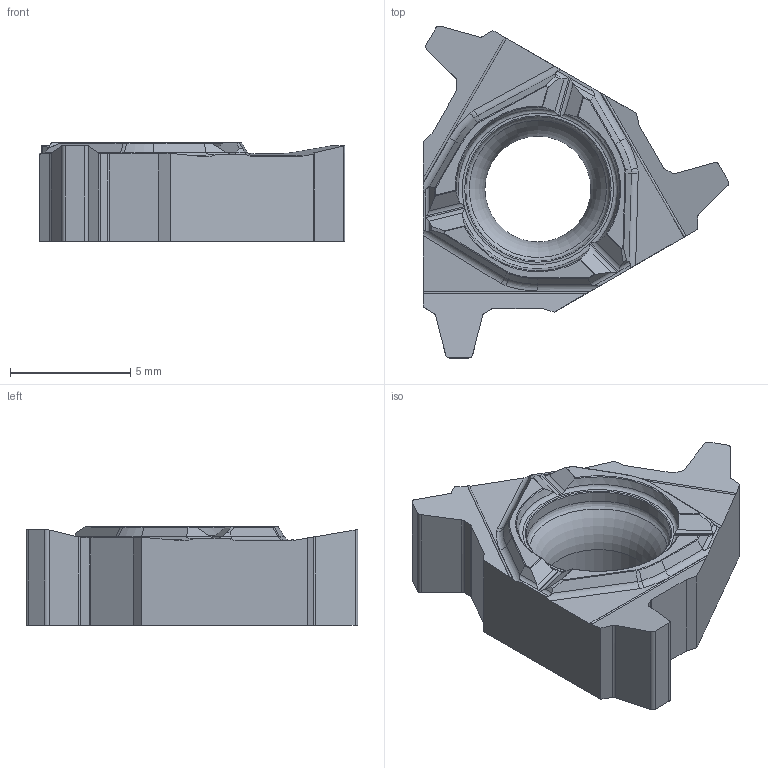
import cadquery as cq
import math

TOTAL_HEIGHT = 4.1
FLOOR_Z = 3.52
SEAT_Z = 3.61

ARM_COUNT = 3
ARM_SPACING = 360 / ARM_COUNT
INSCRIBED_RADIUS = 9.525 / 2
TOOTH_CENTRE_X = -3.27
TOOTH_TIP_Y = -7.01
TOOTH_TIP_WIDTH = 1.05
TOOTH_FLANK_ANGLE = 14.5
TOOTH_TIP_RADIUS = 0.16
TOOTH_ROOT_Y = -5.19
ROOT_RADIUS = 0.15
SHOULDER_ANGLE = 30
SHOULDER_Y = -4.96
SHOULDER_END_X = 0.19
CORNER_X = 0.675

BEND_START_Y = -4.26
BEND_END_Y = -4.345
RISE_ANGLE = 9.6
RISE_REACH = 8.0

RING_RADIUS = 3.71
RING_ARC_START_ANGLE = 250.5
RING_ARC_END_ANGLE = 270
RING_FLANK_ANGLE = -31.6
WALL_DRAFT = 30
RING_BASE_RADIUS = 0.33
RING_CORNER_RADIUS = 0.8
LEDGE_WALL_TOP = 4.26
LEDGE_BASE_RADIUS = 0.19
RING_EDGE_RADIUS = 0.04

FLAT_INNER = 3.87
FLAT_BOTTOM_Z = 3.85
FLAT_START_Y = -1.05
FLAT_LENGTH = 1.5

BORE_RADIUS = 4.4 / 2
BORE_TOP_Z = 1.22
FLARE_RADIUS = 2.85
FLARE_TOP_Z = 2.83
COUNTERBORE_RADIUS = 3.0
COUNTERBORE_BASE_Z = 3.12
STEP_FILLET = 0.18
RIM_FILLET = 0.04
RECESS_TOP_RADIUS = 3.41
RECESS_DRAFT = 15

GROOVE_ANGLE = 194
GROOVE_TOP_WIDTH = 1.52
GROOVE_FLOOR_WIDTH = 0.26
GROOVE_FILLET = 0.29

SLAB_SIZE = 32.0
CUT_REACH = 8.0
CUT_CLEARANCE = 1.0
MATCH_TOLERANCE = 0.01


def rotated(point, angle):
    """Turn an XY point about the Z axis by an angle in degrees."""
    x, y = point
    cosine = math.cos(math.radians(angle))
    sine = math.sin(math.radians(angle))
    return (x * cosine - y * sine, x * sine + y * cosine)


def arm_angles():
    """Turns about the axis that carry the first arm onto each arm."""
    return [ARM_SPACING * index for index in range(ARM_COUNT)]


def around_axis(shape):
    """Repeat a shape for all three arms and join the copies."""
    joined = cq.Workplane("XY")
    for angle in arm_angles():
        joined = joined.add(shape.rotate((0, 0, 0), (0, 0, 1), angle))
    return joined.combine()


def at_corners(blank, points, radius):
    """Round the vertical edges that stand at the given XY points, on every arm."""
    for angle in arm_angles():
        for point in points:
            x, y = rotated(point, angle)
            edge_middle = (x, y, TOTAL_HEIGHT / 2)
            blank = blank.edges(cq.selectors.NearestToPointSelector(edge_middle)).fillet(radius)
    return blank


def outline_prism():
    """Full-height blank with the insert's outline."""
    half_tip = TOOTH_TIP_WIDTH / 2
    half_root = half_tip + (TOOTH_ROOT_Y - TOOTH_TIP_Y) * math.tan(math.radians(TOOTH_FLANK_ANGLE))
    slope = math.tan(math.radians(SHOULDER_ANGLE))
    left_root = (TOOTH_CENTRE_X - half_root, TOOTH_ROOT_Y)
    left_tip = (TOOTH_CENTRE_X - half_tip, TOOTH_TIP_Y)
    right_tip = (TOOTH_CENTRE_X + half_tip, TOOTH_TIP_Y)
    right_root = (TOOTH_CENTRE_X + half_root, TOOTH_ROOT_Y)
    side_end = (-INSCRIBED_RADIUS, TOOTH_ROOT_Y + (left_root[0] + INSCRIBED_RADIUS) * slope)
    shoulder_start = (right_root[0] + (SHOULDER_Y - TOOTH_ROOT_Y) / slope, SHOULDER_Y)
    shoulder_end = (SHOULDER_END_X, SHOULDER_Y)
    side_angle = math.radians(180 - ARM_SPACING)
    corner_y = (CORNER_X * math.cos(side_angle) - INSCRIBED_RADIUS) / math.sin(side_angle)
    arm = [
        side_end, left_root, left_tip, right_tip, right_root,
        shoulder_start, shoulder_end, (CORNER_X, corner_y),
    ]
    points = [rotated(point, angle) for angle in arm_angles() for point in arm]
    prism = cq.Workplane("XY").polyline(points).close().extrude(TOTAL_HEIGHT)
    prism = at_corners(prism, [left_tip, right_tip], TOOTH_TIP_RADIUS)
    return at_corners(prism, [left_root, right_root, shoulder_start], ROOT_RADIUS)


def tooth_rise():
    """Block whose top rises from the floor, past a rounded bend, to the tooth tip."""
    rise_angle = math.radians(RISE_ANGLE)
    bend_z = FLOOR_Z + (BEND_START_Y - BEND_END_Y) * math.tan(rise_angle / 2)
    end_z = bend_z + (BEND_END_Y + RISE_REACH) * math.tan(rise_angle)
    return (
        cq.Workplane("YZ", origin=(-INSCRIBED_RADIUS - CUT_CLEARANCE, 0, 0))
        .moveTo(BEND_START_Y, 0)
        .lineTo(BEND_START_Y, FLOOR_Z)
        .tangentArcPoint((BEND_END_Y, bend_z), relative=False)
        .lineTo(-RISE_REACH, end_z)
        .lineTo(-RISE_REACH, 0)
        .close()
        .extrude(CUT_REACH)
    )


def ring_foot_radius():
    """Radius of the ring's round stretches at the floor."""
    return RING_RADIUS + (TOTAL_HEIGHT - FLOOR_Z) * math.tan(math.radians(WALL_DRAFT))


def ring_outline():
    """Foot of the ring's wall, with its far corners carried on past the insert's sides."""
    radius = ring_foot_radius()
    arc_start = rotated((radius, 0), RING_ARC_START_ANGLE)
    arc_middle = rotated((radius, 0), (RING_ARC_START_ANGLE + RING_ARC_END_ANGLE) / 2)
    arc_end = rotated((radius, 0), RING_ARC_END_ANGLE)
    next_start = rotated(arc_start, ARM_SPACING)
    flank = math.radians(RING_FLANK_ANGLE + ARM_SPACING)
    far_corner = (next_start[0] + (arc_end[1] - next_start[1]) / math.tan(flank), arc_end[1])
    sketch = cq.Workplane("XY", origin=(0, 0, FLOOR_Z)).moveTo(*arc_start)
    for angle in arm_angles():
        sketch = sketch.threePointArc(rotated(arc_middle, angle), rotated(arc_end, angle))
        sketch = sketch.lineTo(*rotated(far_corner, angle))
        sketch = sketch.lineTo(*rotated(next_start, angle))
    return sketch.close()


def floor_and_ring():
    """Wide floor slab with the drafted ring on it, blended along the ring's foot."""
    height = TOTAL_HEIGHT - FLOOR_Z
    ring = ring_outline().extrude(height, taper=WALL_DRAFT)
    middle_radius = (RING_RADIUS + ring_foot_radius()) / 2
    for angle in arm_angles():
        x, y = rotated((middle_radius, 0), RING_ARC_START_ANGLE + angle)
        corner_edge = cq.selectors.NearestToPointSelector((x, y, FLOOR_Z + height / 2))
        ring = ring.edges(corner_edge).fillet(RING_CORNER_RADIUS)
    slab = cq.Workplane("XY").rect(SLAB_SIZE, SLAB_SIZE).extrude(FLOOR_Z)
    foot_zone = cq.selectors.BoxSelector(
        (-CUT_REACH, -CUT_REACH, FLOOR_Z - MATCH_TOLERANCE),
        (CUT_REACH, CUT_REACH, FLOOR_Z + MATCH_TOLERANCE),
    )
    return slab.union(ring).edges(foot_zone).fillet(RING_BASE_RADIUS)


def side_ledge_cut():
    """Space outside the ring's wall along one flat side, above the side ledge."""
    draft = math.tan(math.radians(WALL_DRAFT))
    foot_x = -LEDGE_WALL_TOP - (TOTAL_HEIGHT - SEAT_Z) * draft
    top_z = TOTAL_HEIGHT + CUT_CLEARANCE
    top_x = -LEDGE_WALL_TOP + CUT_CLEARANCE * draft
    cut = (
        cq.Workplane("XZ", origin=(0, RING_RADIUS, 0))
        .moveTo(-CUT_REACH, SEAT_Z)
        .lineTo(foot_x, SEAT_Z)
        .lineTo(top_x, top_z)
        .lineTo(-CUT_REACH, top_z)
        .close()
        .extrude(2 * RING_RADIUS)
    )
    foot = cq.selectors.NearestToPointSelector((foot_x, 0, SEAT_Z))
    return cut.edges(foot).fillet(LEDGE_BASE_RADIUS)


def sloped_flat_cut():
    """Wedge off the top of the ring's side wall, on one side of a groove."""
    wall_x = -LEDGE_WALL_TOP - (TOTAL_HEIGHT - FLAT_BOTTOM_Z) * math.tan(math.radians(WALL_DRAFT))
    return (
        cq.Workplane("XZ", origin=(0, FLAT_START_Y, 0))
        .moveTo(-FLAT_INNER, TOTAL_HEIGHT)
        .lineTo(wall_x, FLAT_BOTTOM_Z)
        .lineTo(wall_x, TOTAL_HEIGHT)
        .close()
        .extrude(FLAT_LENGTH)
    )


def groove_cut():
    """Radial V groove across the ring with rounded bottom corners."""
    depth = TOTAL_HEIGHT - SEAT_Z
    half_floor = GROOVE_FLOOR_WIDTH / 2
    half_top = GROOVE_TOP_WIDTH / 2
    spread = (half_top - half_floor) / depth * CUT_CLEARANCE
    top_z = TOTAL_HEIGHT + CUT_CLEARANCE
    cut = (
        cq.Workplane("YZ")
        .moveTo(-half_floor, SEAT_Z)
        .lineTo(half_floor, SEAT_Z)
        .lineTo(half_top + spread, top_z)
        .lineTo(-half_top - spread, top_z)
        .close()
        .extrude(CUT_REACH)
    )
    cut = cut.edges("|X and <Z").fillet(GROOVE_FILLET)
    return cut.rotate((0, 0, 0), (0, 0, 1), GROOVE_ANGLE)


def middle_of_tangent_arc(vertical_end, other_end):
    """Middle of the arc through two profile points that runs vertically at the first."""
    out = other_end[0] - vertical_end[0]
    up = other_end[1] - vertical_end[1]
    radius = (out**2 + up**2) / (2 * abs(out))
    half_angle = math.asin(abs(up) / radius) / 2
    return (
        vertical_end[0] + math.copysign(radius * (1 - math.cos(half_angle)), out),
        vertical_end[1] + math.copysign(radius * math.sin(half_angle), up),
    )


def seat_circle(solid, radius):
    """Select the circular edge of a given radius that lies at the seat level."""
    return solid.edges("%CIRCLE").filter(
        lambda edge: abs(edge.radius() - radius) < MATCH_TOLERANCE
        and abs(edge.Center().z - SEAT_Z) < MATCH_TOLERANCE
    )


def hole_cut():
    """Bore flaring up to a counterbore, with a shallow drafted recess at the top."""
    draft = math.tan(math.radians(RECESS_DRAFT))
    step_radius = RECESS_TOP_RADIUS - (TOTAL_HEIGHT - SEAT_Z) * draft
    top_z = TOTAL_HEIGHT + CUT_CLEARANCE
    bore_top = (BORE_RADIUS, BORE_TOP_Z)
    flare_top = (FLARE_RADIUS, FLARE_TOP_Z)
    counterbore_base = (COUNTERBORE_RADIUS, COUNTERBORE_BASE_Z)
    cut = (
        cq.Workplane("XZ")
        .lineTo(BORE_RADIUS, 0)
        .lineTo(*bore_top)
        .threePointArc(middle_of_tangent_arc(bore_top, flare_top), flare_top)
        .threePointArc(middle_of_tangent_arc(counterbore_base, flare_top), counterbore_base)
        .lineTo(COUNTERBORE_RADIUS, SEAT_Z)
        .lineTo(step_radius, SEAT_Z)
        .lineTo(RECESS_TOP_RADIUS + CUT_CLEARANCE * draft, top_z)
        .lineTo(0, top_z)
        .close()
        .revolve(360, (0, 0, 0), (0, 1, 0))
    )
    cut = seat_circle(cut, step_radius).fillet(STEP_FILLET)
    return seat_circle(cut, COUNTERBORE_RADIUS).fillet(RIM_FILLET)


result = floor_and_ring().cut(around_axis(side_ledge_cut()))
result = result.union(around_axis(tooth_rise())).intersect(outline_prism())
result = result.cut(around_axis(groove_cut())).cut(around_axis(sloped_flat_cut()))
result = result.cut(hole_cut())
result = result.faces(">Z").edges().fillet(RING_EDGE_RADIUS)